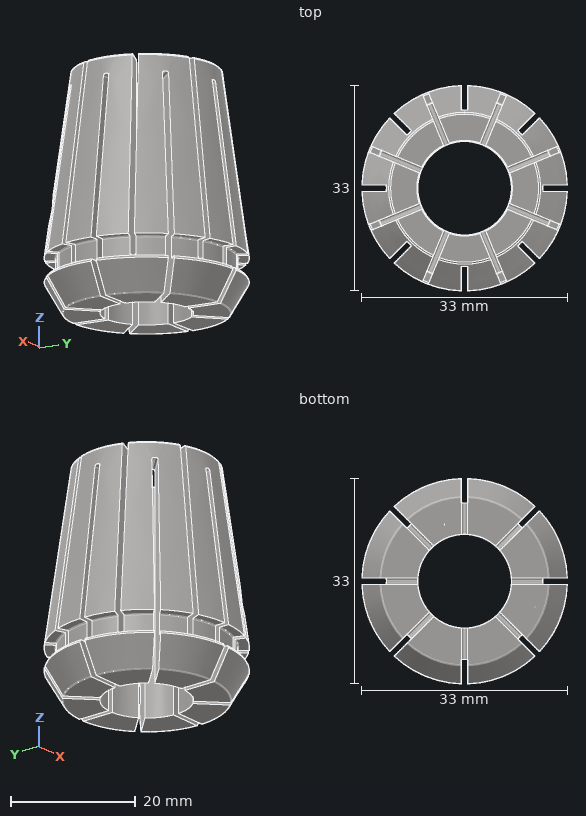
import cadquery as cq
import math

match_tolerance = 4e-07

length = 40.0
outer_radius = 16.5
bore_radius = 15.0 / 2
cone_angle = 8.0
nose_angle = 30.0

flange_rim_z = 5.1
groove_bottom_z = 5.55
groove_top_z = 9.1
groove_radius = 14.6

top_chamfer = 0.3
rim_chamfer = 0.3
bore_chamfer = 0.15
base_fillet = 0.15
groove_fillet = 0.15

slit_count = 8
slit_width = 1.0
slit_corner_radius = 0.4
lower_slit_end_z = 37.0
upper_slit_end_z = 6.0
slit_reach = outer_radius + slit_width
slit_pitch = 360.0 / slit_count

cone_top_radius = outer_radius - (length - groove_top_z) * math.tan(math.radians(cone_angle))
cone_chamfer_radius = cone_top_radius + top_chamfer * math.tan(math.radians(cone_angle))
nose_base_radius = outer_radius - flange_rim_z * math.tan(math.radians(nose_angle))


def fillet_circle(body, radius, height, fillet_radius):
    """Round the circular edge of the given radius that lies at the given height."""
    circles = body.edges("%CIRCLE").filter(
        lambda edge: math.isclose(edge.radius(), radius)
        and math.isclose(edge.Center().z, height, abs_tol=match_tolerance)
    )
    return circles.fillet(fillet_radius)


def make_body():
    """Revolved sleeve: nose taper, groove, clamping taper and plain bore."""
    profile = [
        (bore_radius, 0),
        (nose_base_radius, 0),
        (outer_radius, flange_rim_z),
        (outer_radius - rim_chamfer, groove_bottom_z),
        (groove_radius, groove_bottom_z),
        (groove_radius, groove_top_z),
        (outer_radius, groove_top_z),
        (cone_chamfer_radius, length - top_chamfer),
        (cone_top_radius - top_chamfer, length),
        (bore_radius + bore_chamfer, length),
        (bore_radius, length - bore_chamfer),
    ]
    body = cq.Workplane("XZ").polyline(profile).close().revolve(360, (0, 0), (0, 1))
    body = fillet_circle(body, groove_radius, groove_bottom_z, groove_fillet)
    body = fillet_circle(body, groove_radius, groove_top_z, groove_fillet)
    return fillet_circle(body, nose_base_radius, 0, base_fillet)


def make_slit(open_z, end_z, corner_radius, angle):
    """Radial slit cutter from an open end to a closed end with rounded corners."""
    slit_length = abs(end_z - open_z)
    return (
        cq.Workplane("XY")
        .box(slit_reach, slit_width, slit_length, centered=(False, True, False))
        .translate((0, 0, min(open_z, end_z)))
        .faces(">Z" if end_z > open_z else "<Z")
        .edges("|X")
        .fillet(corner_radius)
        .rotate((0, 0, 0), (0, 0, 1), angle)
    )


result = make_body()
for index in range(slit_count):
    lower_angle = index * slit_pitch
    upper_angle = lower_angle + slit_pitch / 2
    lower_slit = make_slit(0, lower_slit_end_z, slit_corner_radius, lower_angle)
    upper_slit = make_slit(length, upper_slit_end_z, slit_corner_radius, upper_angle)
    result = result.cut(lower_slit).cut(upper_slit)